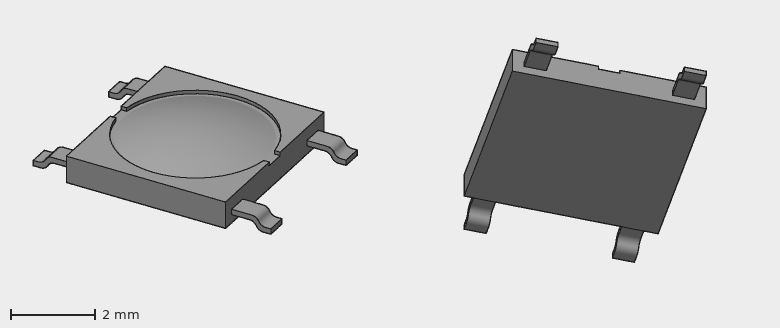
import cadquery as cq
import math

overall_length = 6.48
overall_height = 0.94

body_length = 4.34
body_width = 4.78
body_height = 0.73

recess_radius = 2.035
recess_depth = 0.1
notch_width = 0.525
lens_radius = 1.925

lead_width = 0.545
lead_edge_inset = 0.29
lead_thickness = 0.15
lead_top = 0.38
foot_length = 0.14
bend_run = 0.375
underside_shift = 0.065
lead_embed = 0.065

recess_floor = body_height - recess_depth
lens_height = overall_height - recess_floor
lead_spacing = body_width - 2 * lead_edge_inset - lead_width


def make_body():
    """Rectangular block with the recess and its full-length notch channel cut into the top."""
    block = cq.Workplane("XY").box(body_length, body_width, body_height, centered=(True, True, False))
    floor = cq.Workplane("XY").workplane(offset=recess_floor)
    recess = floor.circle(recess_radius).extrude(recess_depth)
    channel = floor.rect(body_length, notch_width).extrude(recess_depth)
    return block.cut(recess).cut(channel)


def make_lens():
    """Spherical cap rising from the recess floor, on a root that joins it solidly to the body."""
    sphere_radius = (lens_radius**2 + lens_height**2) / (2 * lens_height)
    half_radius = lens_radius / 2
    half_radius_height = overall_height - sphere_radius + math.sqrt(sphere_radius**2 - half_radius**2)
    root_bottom = recess_floor - recess_depth
    half_section = (
        cq.Workplane("XZ")
        .moveTo(0, root_bottom)
        .lineTo(lens_radius, root_bottom)
        .lineTo(lens_radius, recess_floor)
        .threePointArc((half_radius, half_radius_height), (0, overall_height))
        .close()
    )
    return half_section.revolve(360, (0, 0, 0), (0, 1, 0))


def make_left_lead():
    """Gull-wing lead on the -X end, centred on Y = 0; each face bends through two equal tangent arcs."""
    tip_x = -overall_length / 2
    root_x = -body_length / 2 + lead_embed
    lead_bottom = lead_top - lead_thickness

    upper_start = (tip_x + foot_length, lead_thickness)
    upper_end = (upper_start[0] + bend_run, lead_top)
    upper_middle = ((upper_start[0] + upper_end[0]) / 2, (upper_start[1] + upper_end[1]) / 2)

    lower_start = (upper_start[0] + underside_shift, 0)
    lower_end = (upper_end[0] + underside_shift, lead_bottom)
    lower_middle = (upper_middle[0] + underside_shift, upper_middle[1] - lead_thickness)

    profile = (
        cq.Workplane("XZ")
        .moveTo(tip_x, 0)
        .lineTo(tip_x, lead_thickness)
        .lineTo(*upper_start)
        .tangentArcPoint(upper_middle, relative=False)
        .tangentArcPoint(upper_end, relative=False)
        .lineTo(root_x, lead_top)
        .lineTo(root_x, lead_bottom)
        .lineTo(*lower_end)
        .tangentArcPoint(lower_middle, relative=False)
        .tangentArcPoint(lower_start, relative=False)
        .close()
    )
    return profile.extrude(lead_width / 2, both=True)


result = make_body().union(make_lens())

left_lead = make_left_lead()
right_lead = left_lead.rotate((0, 0, 0), (0, 0, 1), 180)
for lead in (left_lead, right_lead):
    for side in (-1, 1):
        result = result.union(lead.translate((0, side * lead_spacing / 2, 0)))